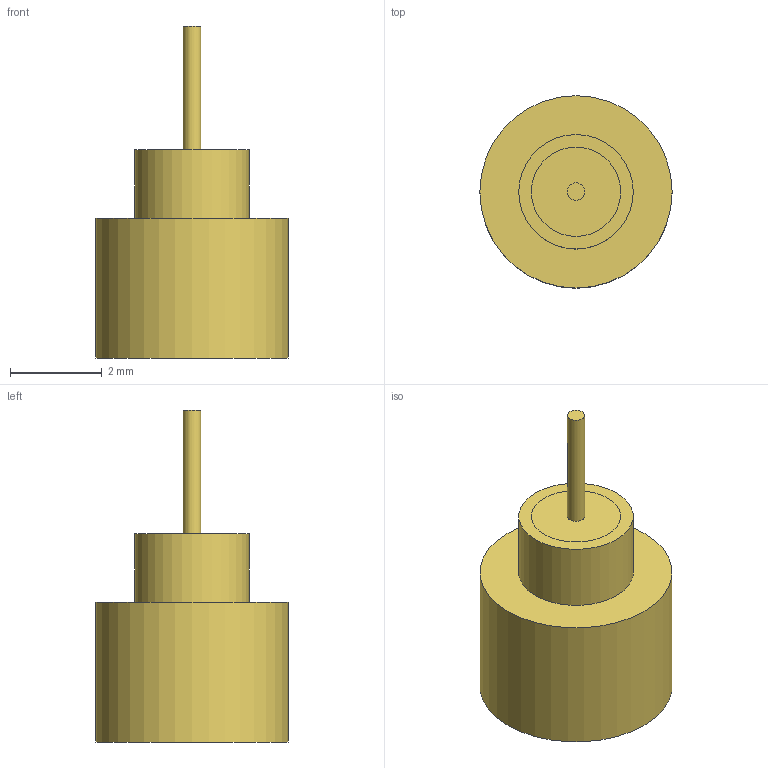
import cadquery as cq

body_diameter = 4.2
body_height = 3.05
neck_diameter = 2.5
neck_height = 1.5
bead_diameter = 1.95
pin_diameter = 0.38
pin_length = 2.7

neck_base_z = body_height
neck_top_z = neck_base_z + neck_height


def cylinder(diameter, height, base_z):
    """Solid cylinder on the Z axis, standing on base_z."""
    return cq.Workplane("XY").workplane(offset=base_z).circle(diameter / 2).extrude(height)


def make_shell():
    """Body and neck, with the neck bored out to hold the bead."""
    body = cylinder(body_diameter, body_height, 0)
    neck = cylinder(neck_diameter, neck_height, neck_base_z)
    bore = cylinder(bead_diameter, neck_height, neck_base_z)
    return body.union(neck).cut(bore)


bead = cylinder(bead_diameter, neck_height, neck_base_z)
pin = cylinder(pin_diameter, pin_length, neck_top_z)

result = make_shell().union(bead, clean=False).union(pin, clean=False)